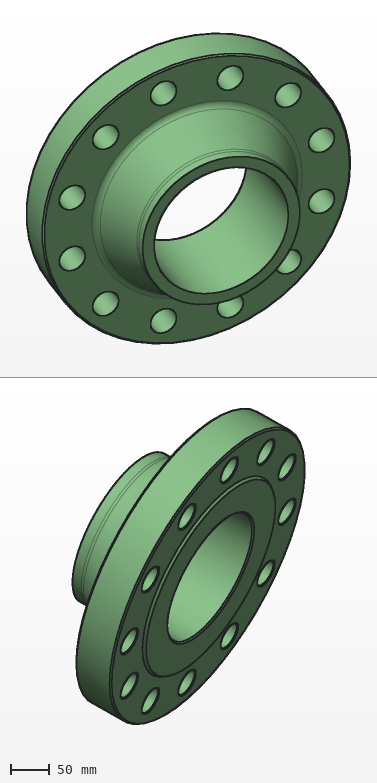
import cadquery as cq
import math

overall_length = 140.0
raised_face_height = 4.0
flange_back = 60.0
neck_length = 16.0

flange_diameter = 430.0
raised_face_diameter = 285.0
raised_face_base_diameter = 290.5
hub_root_diameter = 281.0
neck_diameter = 219.5
bore_diameter = 187.0

bolt_count = 12
bolt_circle_diameter = 360.0
bolt_hole_diameter = 36.0

rim_chamfer = 2.0
bore_chamfer = 2.0
bolt_hole_chamfer = 1.5
hub_fillet = 10.0
edge_search_margin = 0.5


def revolved_body():
    """Raised face, flange, conical hub and weld neck turned about the X axis."""
    cone_end = overall_length - neck_length
    rim_radius = flange_diameter / 2
    outline = (
        cq.Workplane("XY")
        .polyline([
            (0, 0),
            (0, raised_face_diameter / 2),
            (raised_face_height, raised_face_base_diameter / 2),
            (raised_face_height, rim_radius - rim_chamfer),
            (raised_face_height + rim_chamfer, rim_radius),
            (flange_back - rim_chamfer, rim_radius),
            (flange_back, rim_radius - rim_chamfer),
            (flange_back, hub_root_diameter / 2),
            (cone_end, neck_diameter / 2),
            (overall_length, neck_diameter / 2),
            (overall_length, 0),
        ])
        .close()
    )
    body = outline.revolve(360, (0, 0, 0), (1, 0, 0))
    for x in (flange_back, cone_end):
        lower_corner = (x - edge_search_margin, -rim_radius, -rim_radius)
        upper_corner = (x + edge_search_margin, rim_radius, rim_radius)
        end_circles = body.edges(cq.selectors.BoxSelector(lower_corner, upper_corner))
        hub_edge = end_circles.edges(cq.selectors.RadiusNthSelector(0))
        body = hub_edge.fillet(hub_fillet)
    return body


def chamfered_hole(diameter, start, end, chamfer, y=0.0, z=0.0):
    """Cutter along X with a conical entry at its start."""
    radius = diameter / 2
    profile = (
        cq.Workplane("XY")
        .polyline([
            (start, 0),
            (start, radius + chamfer),
            (start + chamfer, radius),
            (end, radius),
            (end, 0),
        ])
        .close()
    )
    return profile.revolve(360, (0, 0, 0), (1, 0, 0)).translate((0, y, z))


result = revolved_body().cut(
    chamfered_hole(bore_diameter, 0, overall_length, bore_chamfer)
)

bolt_pitch = 2 * math.pi / bolt_count
bolt_circle_radius = bolt_circle_diameter / 2
for i in range(bolt_count):
    angle = (i + 0.5) * bolt_pitch
    bolt_hole = chamfered_hole(
        bolt_hole_diameter,
        raised_face_height,
        flange_back,
        bolt_hole_chamfer,
        y=bolt_circle_radius * math.cos(angle),
        z=bolt_circle_radius * math.sin(angle),
    )
    result = result.cut(bolt_hole)